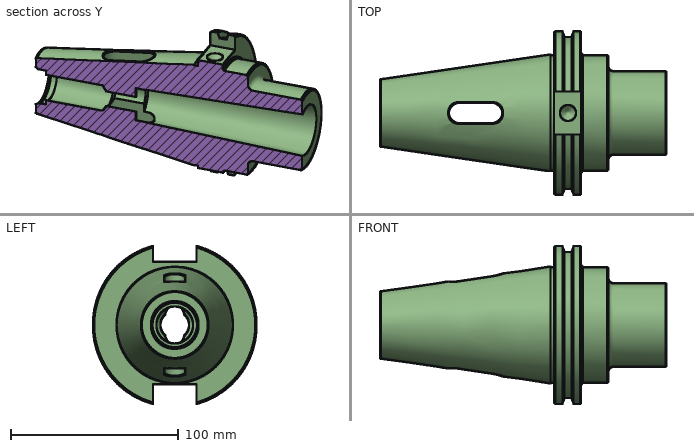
import cadquery as cq

length = 171.5
taper_end = 101.0
relief_start = 102.0
flange_start = 104.2
flange_end = 120.4
collar_start = 121.4
collar_end = 136.6

small_end_diameter = 40.5
gauge_diameter = 69.8
relief_diameter = 69.3
collar_diameter = 69.3
flange_diameter = 98.0
groove_diameter = 91.2
nose_diameter = 50.0

small_end_chamfer = 0.5
small_end_chamfer_length = 0.9
flange_chamfer = 0.9
collar_chamfer = 0.9
nose_chamfer = 0.9
nose_fillet = 3.0

groove_center = 112.5
groove_top_width = 6.9
groove_floor_width = 4.3

drive_slot_width = 25.9
upper_floor_height = 37.9
lower_floor_height = 35.5
dimple_diameter = 9.6
dimple_depth = 4.8

mouth_diameter = 28.6
counterbore_diameter = 26.5
counterbore_depth = 6.5
mouth_chamfer_length = 1.9
drawbar_diameter = 22.0
drawbar_depth = 42.9
web_diameter = 17.0
web_cone_length = (drawbar_diameter - web_diameter) / 2

socket_mouth_diameter = 31.2
socket_depth = 107.0
socket_taper = 1 / 19.254

tang_slot_start = 41.3
tang_slot_end = 73.2
tang_slot_width = 12.0
tang_slot_chamfer = 0.5
rim_search_margin = 0.2


def turned(points):
    """Solid of revolution about X from (x, diameter) corners, closed along the axis."""
    corners = [(x, diameter / 2) for x, diameter in points]
    outline = [(corners[0][0], 0)] + corners + [(corners[-1][0], 0)]
    return cq.Workplane("XY").polyline(outline).close().revolve(360, (0, 0, 0), (1, 0, 0))


def make_shank():
    return turned([
        (0, small_end_diameter - 2 * small_end_chamfer),
        (small_end_chamfer_length, small_end_diameter),
        (taper_end, gauge_diameter),
        (relief_start, gauge_diameter),
        (relief_start, relief_diameter),
        (flange_start, relief_diameter),
    ])


def make_flange():
    edge_diameter = flange_diameter - 2 * flange_chamfer
    return turned([
        (flange_start, edge_diameter),
        (flange_start + flange_chamfer, flange_diameter),
        (groove_center - groove_top_width / 2, flange_diameter),
        (groove_center - groove_floor_width / 2, groove_diameter),
        (groove_center + groove_floor_width / 2, groove_diameter),
        (groove_center + groove_top_width / 2, flange_diameter),
        (flange_end - flange_chamfer, flange_diameter),
        (flange_end, edge_diameter),
    ])


def make_collar_and_nose():
    collar_radius = collar_diameter / 2
    nose_radius = nose_diameter / 2
    flare_radius = collar_radius + collar_start - flange_end
    outline = (
        cq.Workplane("XY")
        .moveTo(flange_end, 0)
        .lineTo(flange_end, flare_radius)
        .lineTo(collar_start, collar_radius)
        .lineTo(collar_end - collar_chamfer, collar_radius)
        .lineTo(collar_end, collar_radius - collar_chamfer)
        .lineTo(collar_end, nose_radius + nose_fillet)
        .radiusArc((collar_end + nose_fillet, nose_radius), -nose_fillet)
        .lineTo(length - nose_chamfer, nose_radius)
        .lineTo(length, nose_radius - nose_chamfer)
        .lineTo(length, 0)
        .close()
    )
    return outline.revolve(360, (0, 0, 0), (1, 0, 0))


def make_bore():
    """Drawbar bore, narrow web and tapered socket joined into one through passage."""
    socket_end = length - socket_depth
    return turned([
        (0, mouth_diameter),
        (mouth_chamfer_length, counterbore_diameter),
        (counterbore_depth, counterbore_diameter),
        (counterbore_depth, drawbar_diameter),
        (drawbar_depth, drawbar_diameter),
        (drawbar_depth + web_cone_length, web_diameter),
        (socket_end, web_diameter),
        (socket_end, socket_mouth_diameter - socket_depth * socket_taper),
        (length, socket_mouth_diameter),
    ])


def make_drive_slot(side, floor_height):
    """Cutter for one flange slot; side is +1 for the top and -1 for the bottom."""
    slot_depth = flange_diameter / 2 - floor_height
    return cq.Workplane("XY").box(
        flange_end - flange_start, drive_slot_width, slot_depth
    ).translate(((flange_start + flange_end) / 2, 0, side * (floor_height + slot_depth / 2)))


def make_dimple():
    """Conical dimple in the floor of the upper drive slot."""
    cone = cq.Solid.makeCone(
        0, dimple_diameter / 2, dimple_depth,
        pnt=cq.Vector(groove_center, 0, upper_floor_height - dimple_depth),
    )
    return cq.Workplane(cone)


def make_tang_slot():
    return (
        cq.Workplane("XY")
        .center((tang_slot_start + tang_slot_end) / 2, 0)
        .slot2D(tang_slot_end - tang_slot_start, tang_slot_width)
        .extrude(gauge_diameter / 2, both=True)
    )


def is_tang_slot_rim(edge):
    """True for edges where the tang slot breaks through the tapered outside."""
    box = edge.BoundingBox()
    inside_length = tang_slot_start - rim_search_margin < box.xmin and box.xmax < tang_slot_end + rim_search_margin
    inside_width = max(abs(box.ymin), abs(box.ymax)) < tang_slot_width / 2 + rim_search_margin
    outside_bore = min(abs(box.zmin), abs(box.zmax)) > small_end_diameter / 2
    return inside_length and inside_width and outside_bore


body = make_shank().union(make_flange()).union(make_collar_and_nose())
body = body.cut(make_tang_slot())
rim = [edge for edge in body.edges().vals() if is_tang_slot_rim(edge)]
body = body.newObject(rim).chamfer(tang_slot_chamfer)

body = body.cut(make_bore())
body = body.cut(make_drive_slot(1, upper_floor_height))
body = body.cut(make_drive_slot(-1, lower_floor_height))
result = body.cut(make_dimple())